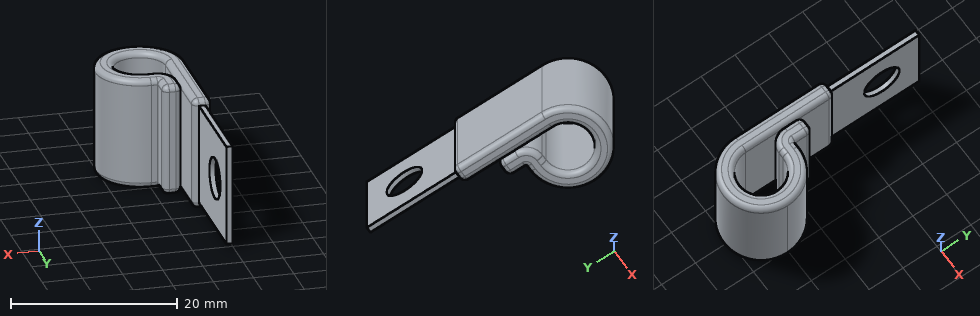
import cadquery as cq
import math

overall_length = 31.7
strap_thickness = 0.8
strap_width = 12.7
hole_diameter = 5.17
hole_end_distance = 5.5

cover = 0.75
wall = strap_thickness + 2 * cover
cushion_width = strap_width + 2 * cover
outer_diameter = 11.05
outer_radius = outer_diameter / 2
inner_radius = outer_radius - wall
middle_radius = (outer_radius + inner_radius) / 2
leg_end = 13.1
tongue_end = 8.1
tongue_offset = 0.8
inner_bend_radius = 0.03
edge_fillet = cover

bend_x = -tongue_offset
bend_y = outer_radius + inner_bend_radius
outer_bend_radius = inner_bend_radius + wall
tongue_right = bend_x - inner_bend_radius
tongue_left = tongue_right - wall
diagonal = math.sqrt(0.5)


def cushion():
    """Loop with a long leg and a short turned-out tongue; the loop axis is Z."""
    body = (
        cq.Workplane("XY")
        .workplane(offset=-cushion_width / 2)
        .moveTo(-outer_radius, leg_end)
        .lineTo(-outer_radius, 0)
        .threePointArc((0, -outer_radius), (outer_radius, 0))
        .threePointArc((outer_radius * diagonal, outer_radius * diagonal), (0, outer_radius))
        .lineTo(bend_x, outer_radius)
        .threePointArc(
            (bend_x - inner_bend_radius * diagonal, bend_y - inner_bend_radius * diagonal),
            (tongue_right, bend_y),
        )
        .lineTo(tongue_right, tongue_end)
        .lineTo(tongue_left, tongue_end)
        .lineTo(tongue_left, bend_y)
        .threePointArc(
            (bend_x - outer_bend_radius * diagonal, bend_y - outer_bend_radius * diagonal),
            (bend_x, inner_radius),
        )
        .lineTo(0, inner_radius)
        .threePointArc((inner_radius * diagonal, inner_radius * diagonal), (inner_radius, 0))
        .threePointArc((0, -inner_radius), (-inner_radius, 0))
        .lineTo(-inner_radius, leg_end)
        .close()
        .extrude(cushion_width)
    )
    rims = body.faces("|Z").edges()
    leg_corners = body.faces(">Y").edges("|Z")
    tongue_tip = cq.selectors.NearestToPointSelector(((tongue_left + tongue_right) / 2, tongue_end, 0))
    tongue_corners = body.faces(tongue_tip).edges("|Z")
    return rims.add(leg_corners).add(tongue_corners).fillet(edge_fillet)


def strap_tab():
    """Bare flat end of the strap with its mounting hole."""
    tab_end = overall_length - outer_radius
    tab_start = leg_end - wall
    tab_length = tab_end - tab_start
    tab = cq.Workplane("XY").box(strap_thickness, tab_length, strap_width)
    tab = tab.translate((-middle_radius, (tab_start + tab_end) / 2, 0))
    hole = (
        cq.Workplane("YZ", origin=(-middle_radius, 0, 0))
        .center(tab_end - hole_end_distance, 0)
        .circle(hole_diameter / 2)
        .extrude(strap_thickness, both=True)
    )
    return tab.cut(hole)


result = cushion().union(strap_tab())